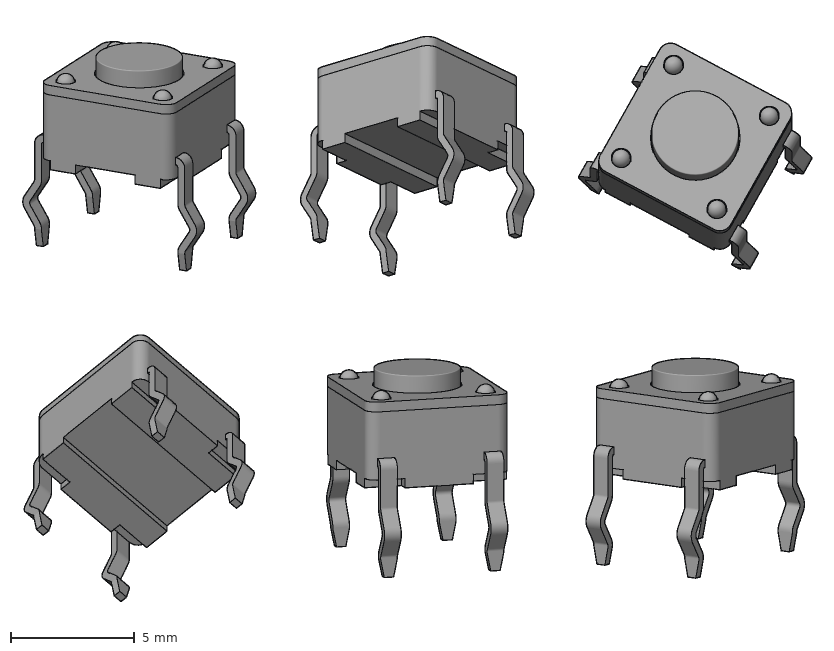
import cadquery as cq
import math


side = 6.0
corner_radius = 0.5
cover_top = 3.6
cover_thickness = 0.4
base_top = cover_top - cover_thickness

relief_height = 0.39
channel_width = 2.71
corner_relief_x = corner_radius
corner_relief_inner_y = 1.44

button_diameter = 3.5
button_hole_diameter = 3.6
button_projection = 0.7
button_edge_radius = 0.04

post_pitch = 4.4
post_diameter = 0.75
post_hole_diameter = 0.8
post_projection = 0.3

lead_span = 7.89
lead_thickness = 0.315
lead_width = 0.71
lead_pitch = 4.5
lead_row_spacing = 6.5
lead_depth = 3.55
lead_top = 1.28
shoulder_outer_radius = 0.41
kink_outer_radius = 0.5
kink_height = 1.84
kink_half_length = 0.93
tip_width = 0.395
tip_length = 0.765
lead_embed = 0.24


def housing_block(bottom, height):
    """Square block with rounded vertical corners."""
    block = cq.Workplane("XY").workplane(offset=bottom).rect(side, side).extrude(height)
    return block.edges("|Z").fillet(corner_radius)


def square_pattern(pitch):
    """Workplane at Z = 0 with one location near each corner."""
    return cq.Workplane("XY").rarray(pitch, pitch, 2, 2)


def base_relief():
    """Channel through the underside along Y, and a notch under each corner."""
    channel = cq.Workplane("XY").box(channel_width, side, relief_height, centered=(True, True, False))
    notch_y = side / 2 - corner_relief_inner_y
    notches = (
        cq.Workplane("XY")
        .rarray(side - corner_relief_x, side - notch_y, 2, 2)
        .rect(corner_relief_x, notch_y)
        .extrude(relief_height)
    )
    return channel.union(notches)


def rivet_posts():
    """Four posts that pass through the cover and end in hemispheres."""
    radius = post_diameter / 2
    dome_center = cover_top + post_projection - radius
    shafts = square_pattern(post_pitch).circle(radius).extrude(dome_center)
    domes = square_pattern(post_pitch).sphere(radius).translate((0, 0, dome_center))
    below = cq.Workplane("XY").box(side, side, base_top, centered=(True, True, False))
    return shafts.cut(below).union(domes.cut(below))


def rounded_path(corners, radii):
    """XZ polyline whose inner corners are replaced by tangent arcs of the given radii."""
    points = [cq.Vector(x, 0, z) for x, z in corners]
    edges = []
    start = points[0]
    for before, corner, after, radius in zip(points, points[1:], points[2:], radii):
        to_before = (before - corner).normalized()
        to_after = (after - corner).normalized()
        half_angle = to_before.getAngle(to_after) / 2
        setback = radius / math.tan(half_angle)
        arc_start = corner + to_before * setback
        arc_end = corner + to_after * setback
        bisector = (to_before + to_after).normalized()
        arc_middle = corner + bisector * (radius / math.sin(half_angle) - radius)
        edges.append(cq.Edge.makeLine(start, arc_start))
        edges.append(cq.Edge.makeThreePointArc(arc_start, arc_middle, arc_end))
        start = arc_end
    edges.append(cq.Edge.makeLine(start, points[-1]))
    return cq.Wire.assembleEdges(edges)


def lead():
    """Kinked strip on the +X side, centred on Y = 0, with a tapered tip."""
    half_thickness = lead_thickness / 2
    shoulder_radius = shoulder_outer_radius - half_thickness
    kink_radius = kink_outer_radius - half_thickness
    leg_x = lead_row_spacing / 2
    tip_z = -lead_depth
    kink_z = tip_z + kink_height
    start_x = side / 2 - lead_embed
    start_z = lead_top - half_thickness

    rise = lead_span / 2 - half_thickness - leg_x
    reach = math.hypot(kink_half_length, rise - kink_radius)
    kink_angle = math.asin(kink_radius / reach) - math.atan2(kink_radius - rise, kink_half_length)
    kink_x = leg_x + kink_half_length * math.tan(kink_angle)
    corners = [
        (start_x, start_z),
        (leg_x, start_z),
        (leg_x, kink_z + kink_half_length),
        (kink_x, kink_z),
        (leg_x, kink_z - kink_half_length),
        (leg_x, tip_z),
    ]
    radii = [shoulder_radius, kink_radius, kink_radius, kink_radius]
    path = cq.Workplane(obj=rounded_path(corners, radii))
    section = cq.Workplane("YZ", origin=(start_x, 0, start_z)).rect(lead_width, lead_thickness)
    strip = section.sweep(path)

    taper_z = tip_z + tip_length
    silhouette = (
        cq.Workplane("YZ")
        .moveTo(-tip_width / 2, tip_z)
        .lineTo(tip_width / 2, tip_z)
        .lineTo(lead_width / 2, taper_z)
        .lineTo(lead_width / 2, lead_top)
        .lineTo(-lead_width / 2, lead_top)
        .lineTo(-lead_width / 2, taper_z)
        .close()
        .extrude(lead_span / 2)
    )
    return strip.intersect(silhouette)


def make_base():
    """Moulded base with its rivet posts and four embedded leads."""
    base = housing_block(0, base_top).cut(base_relief()).union(rivet_posts())
    right_lead = lead()
    left_lead = right_lead.mirror("YZ")
    for y in (-lead_pitch / 2, lead_pitch / 2):
        for side_lead in (right_lead, left_lead):
            base = base.union(side_lead.translate((0, y, 0)))
    return base


def make_cover():
    """Plate on the base, with clearance holes for the button and the rivet posts."""
    button_hole = cq.Workplane("XY").circle(button_hole_diameter / 2).extrude(cover_top)
    post_holes = square_pattern(post_pitch).circle(post_hole_diameter / 2).extrude(cover_top)
    return housing_block(base_top, cover_thickness).cut(button_hole).cut(post_holes)


def make_button():
    """Round button that stands on the base and rises through the cover."""
    button = (
        cq.Workplane("XY")
        .workplane(offset=base_top)
        .circle(button_diameter / 2)
        .extrude(cover_thickness + button_projection)
    )
    return button.faces(">Z").edges().fillet(button_edge_radius)


base = make_base()
cover = make_cover()
button = make_button()

result = cq.Compound.makeCompound([base.val(), cover.val(), button.val()])